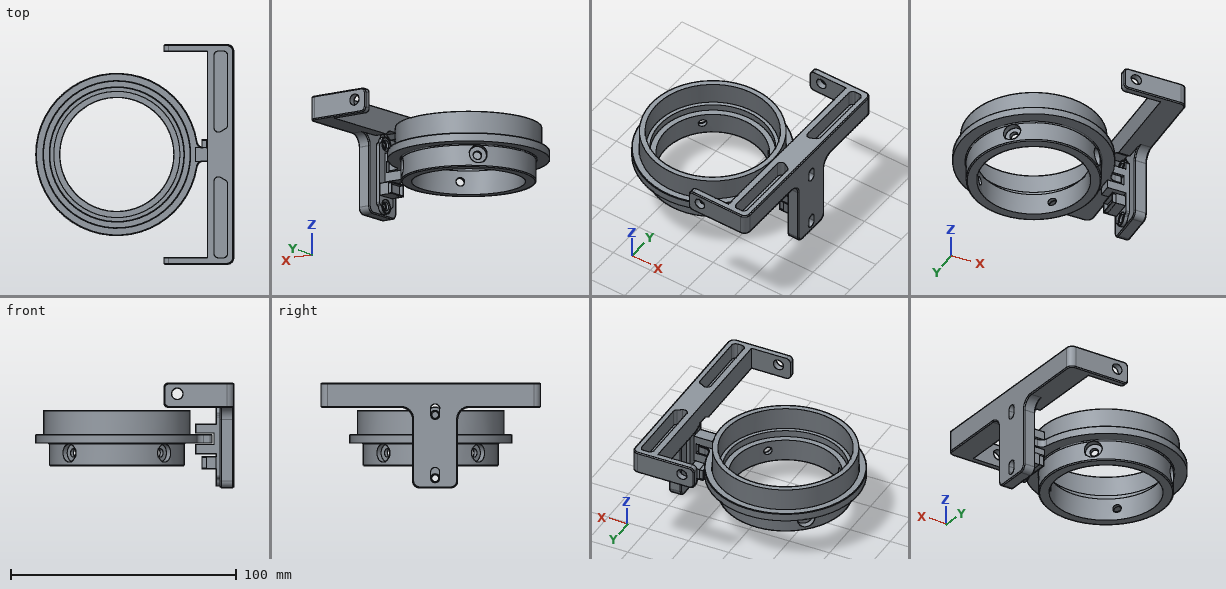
import cadquery as cq
import math

flange_diameter = 72.0
flange_height = 3.8
flange_chamfer = 0.3
groove_outer_diameter = 65.5
groove_inner_diameter = 59.5
groove_depth = 2.5
collar_diameter = 60.0
collar_bottom = -10.1
collar_chamfer = 0.5
collar_root_fillet = 0.5
bore_diameter = 50.5
seat_diameter = 56.0
seat_level = 0.6
tab_width = 6.0
tab_reach = 42.2
tab_root_fillet = 3.0
tab_corner_fillet = 0.9
screw_count = 4
screw_hole_diameter = 3.8
screw_head_diameter = 8.0
screw_head_floor_radius = 27.1
screw_level = -4.4

tube_outer_diameter = 65.0
tube_inner_diameter = 60.0
tube_top = 14.3

back_x = 51.9
bracket_length = 97.5
bracket_top = 26.6
bar_bottom = 15.8
bar_front_x = 40.2
arm_end_x = 20.9
arm_thickness = 3.0
bracket_corner_radius = 3.0
arm_tip_radius = 2.0
edge_chamfer = 0.5
arm_hole_diameter = 5.0
arm_hole_x = 26.8
arm_hole_z = 21.8
pocket_front_x = 43.1
pocket_back_x = 49.1
pocket_outer_y = 45.8
pocket_inner_y = 8.5
pocket_slant_angle = 30.0
pocket_floor_thickness = 3.0
pocket_outer_fillet = 1.95
pocket_inner_fillet = 1.95
plate_front_x = 45.8
plate_width = 20.0
plate_bottom = -19.9
plate_root_fillet = 5.4
notch_top = 17.6
notch_top_width = 5.3
notch_bottom_width = 10.9
slot_width = 4.0
slot_travel = 2.8

slider_front_x = 44.1
slider_width = 9.9
slider_screw_levels = (-15.6, 12.5)
slider_tip_radius = 3.5
slider_shoulder_offset = 0.5
slider_shoulder_angle = 34.0
slider_shoulder_fillet = 1.0
slider_recess_diameter = 6.0
slider_recess_depth = 0.2
slider_pilot_diameter = 4.0
slider_pilot_depth = 1.4
slider_hole_diameter = 3.0
fork_front_x = 34.9
fork_width = 6.0
fork_top = 8.4
fork_bottom = -4.8
fork_slot_floor_x = 43.0
fork_clearance = 0.6
block_front_x = 37.7
block_top = -6.0
block_bottom = -11.4
block_width = 9.1
block_center_y = 2.1
block_wall = 0.4
block_pocket_depth = 1.95

plate_center_y = (slider_width - fork_width) / 2


def box_between(x_range, y_range, z_range):
    """Axis-aligned box between the given limits."""
    lows, highs = zip(x_range, y_range, z_range)
    sizes = [high - low for low, high in zip(lows, highs)]
    return cq.Workplane("XY").box(*sizes, centered=False).translate(lows)


def disc(diameter, bottom, top):
    """Solid cylinder about the Z axis."""
    return cq.Workplane("XY").workplane(offset=bottom).circle(diameter / 2).extrude(top - bottom)


def x_cylinder(diameter, start_x, end_x, y, z):
    """Solid cylinder along X."""
    plane = cq.Plane(origin=(start_x, y, z), xDir=(0, 1, 0), normal=(1, 0, 0))
    return cq.Workplane(plane).circle(diameter / 2).extrude(end_x - start_x)


def make_flange():
    """Flange disc with a tab toward +X, blended by fillets on both sides."""
    flange_radius = flange_diameter / 2
    half_tab = tab_width / 2
    tab_root_x = math.sqrt(flange_radius**2 - half_tab**2)
    tab = box_between((0, tab_reach), (-half_tab, half_tab), (0, flange_height))
    tab = tab.edges("|Z and >X").fillet(tab_corner_fillet)
    root_edges = cq.selectors.BoxSelector(
        (tab_root_x - 0.1, -tab_width, -1), (tab_root_x + 0.1, tab_width, flange_height + 1)
    )
    flange = disc(flange_diameter, 0, flange_height).union(tab)
    flange = flange.edges("|Z").edges(root_edges).fillet(tab_root_fillet)
    return flange.faces(">Z").edges().chamfer(flange_chamfer)


def make_collar():
    """Collar below the flange, chamfered at its bottom and filleted into the flange."""
    collar_radius = collar_diameter / 2
    root_radius = collar_radius + collar_root_fillet
    fillet_middle = collar_root_fillet * (1 - math.sqrt(0.5))
    profile = (
        cq.Workplane("XZ")
        .moveTo(0, collar_bottom)
        .lineTo(collar_radius - collar_chamfer, collar_bottom)
        .lineTo(collar_radius, collar_bottom + collar_chamfer)
        .lineTo(collar_radius, -collar_root_fillet)
        .threePointArc((collar_radius + fillet_middle, -fillet_middle), (root_radius, 0))
        .lineTo(0, 0)
        .close()
    )
    return profile.revolve(360, (0, 0), (0, 1))


def make_holder():
    """Flange and collar with the tube groove, stepped bore and radial screw holes."""
    holder = make_flange().union(make_collar())
    groove_bottom = flange_height - groove_depth
    groove = disc(groove_outer_diameter, groove_bottom, flange_height)
    groove = groove.cut(disc(groove_inner_diameter, groove_bottom, flange_height))
    holder = holder.cut(groove)
    holder = holder.cut(disc(bore_diameter, collar_bottom, flange_height))
    holder = holder.cut(disc(seat_diameter, seat_level, flange_height))
    inner_x = bore_diameter / 2 - 1.95
    outer_x = flange_diameter / 2
    screw_cut = x_cylinder(screw_hole_diameter, inner_x, outer_x, 0, screw_level)
    screw_cut = screw_cut.union(
        x_cylinder(screw_head_diameter, screw_head_floor_radius, outer_x, 0, screw_level)
    )
    pitch = 360 / screw_count
    for index in range(screw_count):
        angle = pitch * (index + 0.5)
        holder = holder.cut(screw_cut.rotate((0, 0, 0), (0, 0, 1), angle))
    return holder


def make_tube():
    """Plain tube resting on the floor of the holder groove."""
    bottom = flange_height - groove_depth
    return disc(tube_outer_diameter, bottom, tube_top).cut(disc(tube_inner_diameter, bottom, tube_top))


def make_yoke():
    """Bar with an arm at each end, rounded at the back corners and arm tips."""
    half_length = bracket_length / 2
    inner_y = half_length - arm_thickness
    yoke = box_between((arm_end_x, back_x), (-half_length, half_length), (bar_bottom, bracket_top))
    yoke = yoke.edges("|Z and >X").fillet(bracket_corner_radius)
    yoke = yoke.edges("|Y and <X").fillet(arm_tip_radius)
    yoke = yoke.faces(">Y or <Y").edges().chamfer(edge_chamfer)
    opening = box_between((arm_end_x, bar_front_x), (-inner_y, inner_y), (bar_bottom, bracket_top))
    return yoke.cut(opening)


def make_hanging_plate():
    """Rounded plate below the bar with flared roots, chamfered front and back."""
    half_width = plate_width / 2
    flare_y = half_width + plate_root_fillet
    flare_bottom = bar_bottom - plate_root_fillet
    flare_middle_y = flare_y - plate_root_fillet * math.sqrt(0.5)
    flare_middle_z = flare_bottom + plate_root_fillet * math.sqrt(0.5)
    corner_y = half_width - bracket_corner_radius
    corner_z = plate_bottom + bracket_corner_radius
    round_y = corner_y + bracket_corner_radius * math.sqrt(0.5)
    round_z = corner_z - bracket_corner_radius * math.sqrt(0.5)
    plate_top = bar_bottom + pocket_floor_thickness
    plane = cq.Plane(origin=(plate_front_x, plate_center_y, 0), xDir=(0, 1, 0), normal=(1, 0, 0))
    outline = (
        cq.Workplane(plane)
        .moveTo(-flare_y, plate_top)
        .lineTo(-flare_y, bar_bottom)
        .threePointArc((-flare_middle_y, flare_middle_z), (-half_width, flare_bottom))
        .lineTo(-half_width, corner_z)
        .threePointArc((-round_y, round_z), (-corner_y, plate_bottom))
        .lineTo(corner_y, plate_bottom)
        .threePointArc((round_y, round_z), (half_width, corner_z))
        .lineTo(half_width, flare_bottom)
        .threePointArc((flare_middle_y, flare_middle_z), (flare_y, bar_bottom))
        .lineTo(flare_y, plate_top)
        .close()
    )
    plate = outline.extrude(back_x - plate_front_x)
    return plate.faces("<X or >X").edges("not >Z").chamfer(edge_chamfer)


def make_pocket():
    """Blind pocket in the bar top whose inner end is slanted."""
    slant_rise = (pocket_back_x - pocket_front_x) * math.tan(math.radians(pocket_slant_angle))
    floor = bar_bottom + pocket_floor_thickness
    pocket = (
        cq.Workplane("XY")
        .workplane(offset=floor)
        .moveTo(pocket_front_x, pocket_outer_y)
        .lineTo(pocket_back_x, pocket_outer_y)
        .lineTo(pocket_back_x, pocket_inner_y + slant_rise)
        .lineTo(pocket_front_x, pocket_inner_y)
        .close()
        .extrude(bracket_top - floor)
    )
    pocket = pocket.edges("|Z and >Y").fillet(pocket_outer_fillet)
    inner_ends = cq.selectors.BoxSelector(
        (pocket_front_x - 1, pocket_inner_y - 1, floor),
        (pocket_back_x + 1, pocket_inner_y + slant_rise + 1, bracket_top),
    )
    return pocket.edges("|Z").edges(inner_ends).fillet(pocket_inner_fillet)


def make_notch():
    """Trapezoid relief under the bar that clears the top of the slider."""
    plane = cq.Plane(origin=(bar_front_x, plate_center_y, 0), xDir=(0, 1, 0), normal=(1, 0, 0))
    return (
        cq.Workplane(plane)
        .moveTo(-notch_bottom_width / 2, bar_bottom)
        .lineTo(-notch_top_width / 2, notch_top)
        .lineTo(notch_top_width / 2, notch_top)
        .lineTo(notch_bottom_width / 2, bar_bottom)
        .close()
        .extrude(plate_front_x - bar_front_x)
    )


def make_bracket():
    """Yoke and hanging plate with arm holes, pockets, slider relief and screw slots."""
    bracket = make_yoke().union(make_hanging_plate())
    arm_hole = (
        cq.Workplane("XZ")
        .center(arm_hole_x, arm_hole_z)
        .circle(arm_hole_diameter / 2)
        .extrude(bracket_length / 2, both=True)
    )
    pocket = make_pocket()
    bracket = bracket.cut(arm_hole).cut(pocket).cut(pocket.mirror("XZ")).cut(make_notch())
    for level in slider_screw_levels:
        plane = cq.Plane(
            origin=(plate_front_x, plate_center_y, level + slot_travel / 2),
            xDir=(0, 0, 1),
            normal=(1, 0, 0),
        )
        slot = cq.Workplane(plane).slot2D(slot_travel + slot_width, slot_width)
        bracket = bracket.cut(slot.extrude(back_x - plate_front_x))
    return bracket


def make_slider_plate():
    """Flat plate with sloped shoulders that run into a round tip at each end."""
    half_width = slider_width / 2
    low_screw, high_screw = slider_screw_levels
    slope = math.tan(math.radians(slider_shoulder_angle))
    intercept = slider_shoulder_offset - slope * half_width
    discriminant = slider_tip_radius**2 * (1 + slope**2) - intercept**2
    neck_y = (-slope * intercept + math.sqrt(discriminant)) / (1 + slope**2)
    neck_offset = slope * neck_y + intercept
    plane = cq.Plane(origin=(slider_front_x, plate_center_y, 0), xDir=(0, 1, 0), normal=(1, 0, 0))
    outline = (
        cq.Workplane(plane)
        .moveTo(half_width, low_screw + slider_shoulder_offset)
        .lineTo(half_width, high_screw - slider_shoulder_offset)
        .lineTo(neck_y, high_screw - neck_offset)
        .threePointArc((0, high_screw + slider_tip_radius), (-neck_y, high_screw - neck_offset))
        .lineTo(-half_width, high_screw - slider_shoulder_offset)
        .lineTo(-half_width, low_screw + slider_shoulder_offset)
        .lineTo(-neck_y, low_screw + neck_offset)
        .threePointArc((0, low_screw - slider_tip_radius), (neck_y, low_screw + neck_offset))
        .close()
    )
    slider_plate = outline.extrude(plate_front_x - slider_front_x)
    return slider_plate.edges("|X").fillet(slider_shoulder_fillet)


def make_fork():
    """Two prongs that straddle the holder tab."""
    y_range = (-fork_width / 2, fork_width / 2)
    fork = box_between((fork_front_x, plate_front_x), y_range, (fork_bottom, fork_top))
    slot_levels = (-fork_clearance, flange_height + fork_clearance)
    return fork.cut(box_between((fork_front_x, fork_slot_floor_x), y_range, slot_levels))


def make_stop_block():
    """Block below the fork, hollowed from its front."""
    low_y = block_center_y - block_width / 2
    high_y = block_center_y + block_width / 2
    block = box_between((block_front_x, plate_front_x), (low_y, high_y), (block_bottom, block_top))
    pocket = box_between(
        (block_front_x, block_front_x + block_pocket_depth),
        (low_y + block_wall, high_y - block_wall),
        (block_bottom + block_wall, block_top - block_wall),
    )
    return block.cut(pocket)


def make_slider():
    """Slider plate, fork and stop block with a stepped screw hole at each end."""
    slider = make_slider_plate().union(make_fork()).union(make_stop_block())
    steps = (
        (slider_recess_diameter, slider_front_x + slider_recess_depth),
        (slider_pilot_diameter, slider_front_x + slider_pilot_depth),
        (slider_hole_diameter, plate_front_x),
    )
    for level in slider_screw_levels:
        for diameter, end_x in steps:
            slider = slider.cut(x_cylinder(diameter, slider_front_x, end_x, plate_center_y, level))
    return slider


holder = make_holder()
tube = make_tube()
bracket = make_bracket()
slider = make_slider()

result = cq.Compound.makeCompound([holder.val(), tube.val(), bracket.val(), slider.val()])